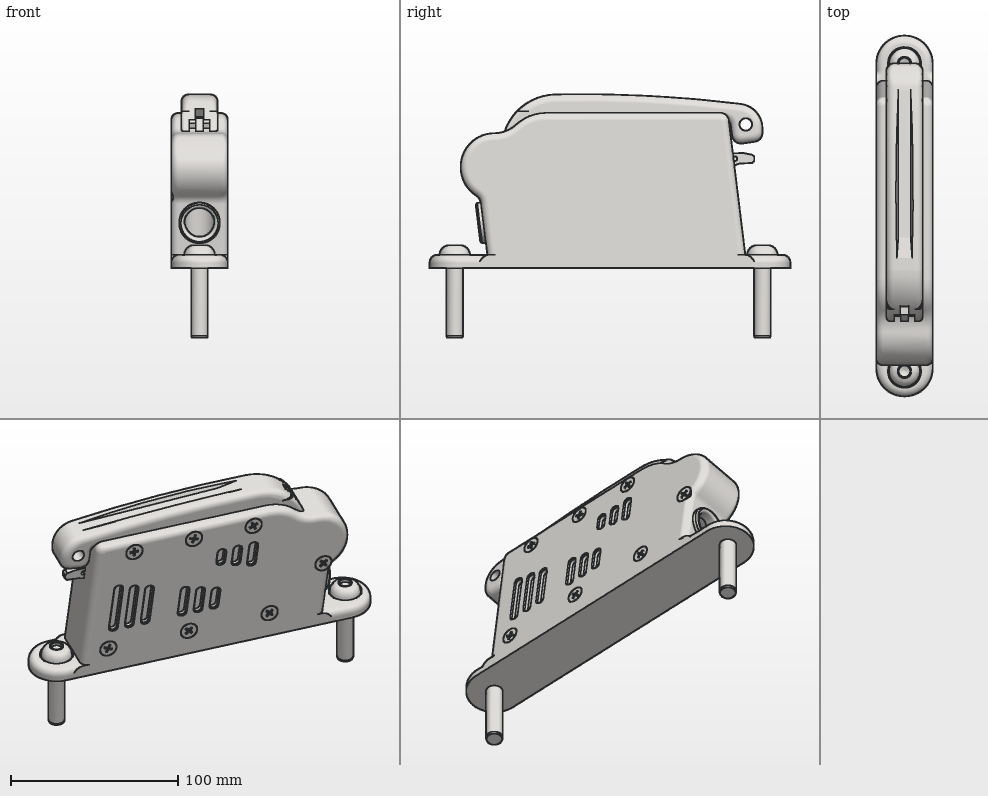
import cadquery as cq
import math

LENGTH = 216.0
WIDTH = 34.0
HALF_WIDTH = WIDTH / 2
LEAN = math.radians(7)

BASE_HEIGHT = 8.0
BASE_ROUND = 4.8
FLANGE_END_Y = LENGTH / 2 - HALF_WIDTH
REAR_RUNOUT_Y = 86.8
FRONT_RUNOUT_Y = 78.5
RUNOUT_RADIUS = 1.7
SELECT_MARGIN = 0.2

BOLT_CENTERS_Y = (91.2, -92.9)
SHANK_DIAMETER = 10.2
SHANK_TIP_DIAMETER = 9.3
SHANK_TIP_LENGTH = 1.3
SHANK_END_Z = -41.7
HEAD_DIAMETER = 18.5
HEAD_RECESS_DIAMETER = 19.9
HEAD_RECESS_DEPTH = 1.3
HEAD_TOP_Z = 13.8
HEAD_FLAT_DIAMETER = 8.2
HEAD_BULGE = (7.8, 11.7)
SOCKET_DIAMETER = 7.0
SOCKET_DEPTH = 2.2
SOCKET_CONE_DEPTH = 1.3

HOUSING_TOP_Z = 92.9
BACK_FOOT_Y = 81.0
FRONT_FOOT_Y = -73.5
SHOULDER_Y = -38.0
CREST_Y = -69.1
BULGE_RADIUS = 20.3
BULGE_CENTER_Z = 60.5
SHOULDER_SHARE = 0.59
HOUSING_ROUND = 4.3
BACK_CORNER_RADIUS = 5.2
NECK_RADIUS = 7.0

SIDE_SCREWS = (
    (47.7, 84.5, 0), (9.7, 84.5, 20), (-28.3, 84.5, 65), (-72.8, 45.1, 50),
    (64.4, 16.8, 25), (13.0, 16.8, 45), (-38.5, 16.8, 45),
)
SCREW_DIAMETER = 10.2
SCREW_SEAT_DIAMETER = 10.5
SCREW_SEAT_DEPTH = 5.0
SCREW_HEAD_HEIGHT = 5.5
CROSS_LENGTH = 5.2
CROSS_WIDTH = 0.9
CROSS_DEPTH = 1.3

VENT_WIDTH = 4.5
VENT_CHAMFER = 0.75
VENT_DEPTH = 3.2
VENT_PITCH = 10.2
VENTS_PER_ROW = 3
LOW_ROW_Z = 32.2
HIGH_ROW_Z = 69.3
REAR_ROW = (61.1, LOW_ROW_Z, 27.0, -2.5)
MIDDLE_ROW = (17.3, LOW_ROW_Z, 15.1, -2.8)
FRONT_ROW = (-8.0, HIGH_ROW_Z, -5.6, -2.8)

OUTLET_Z = 27.2
OUTLET_DIAMETER = 24.5
OUTLET_LENGTH = 3.2
OUTLET_ROOT = 1.0
OUTLET_CHAMFER = 1.0
OUTLET_ROUND = 2.0
BORE_DIAMETER = 18.0
BORE_DEPTH = 13.0
BORE_END_DIAMETER = 18.5
BORE_END_LENGTH = 21.5

LEVER_WIDTH = 21.8
LEVER_ROUND = 4.5
FINGER_ROUND = 2.4
LEVER_TOP_Z = 104.1
LEVER_TOP_Y = -17.3
LEVER_TOP_RADIUS = 784.0
NOSE_START_Y = -32.6
NOSE_RADIUS = 32.8
NOSE_END_Z = 80.4
HINGE_START_Y = 78.2
HINGE_RADIUS = 15.0
HINGE_CORNER_RADIUS = 5.6
HINGE_BOTTOM = ((91.4, 76.2), (73.7, 73.7))
HINGE_FRONT = (71.7, 88.8)
HINGE_FRONT_RADIUS = 3.9
UNDERSIDE_BREAK_Y = -19.5
UNDERSIDE_FRONT_Y = -38.9
PIN_HOLE = (81.2, 86.0)
PIN_HOLE_DIAMETER = 7.3

FINGER_TOP_Z = 93.7
FINGER_GAP = 12.3
RECESS_FRONT_Y = -75.5
RECESS_OUTLINE = (
    (RECESS_FRONT_Y, 88.8), (-59.0, 88.8), (-60.0, 86.6), (-57.9, NOSE_END_Z), (RECESS_FRONT_Y, NOSE_END_Z),
)
TONGUE_WIDTH = 4.3
WINDOW_WIDTH = 5.0
WINDOW_OUTLINE = ((RECESS_FRONT_Y, 95.3), (-54.0, 95.3), (-48.8, 89.9), (RECESS_FRONT_Y, 89.5))

GROOVE_REAR_Y = 75.4
GROOVE_DEEP_Y = -12.7
GROOVE_FRONT_Y = -25.0
GROOVE_DEPTH = 2.0
GROOVE_WIDTH = 7.3
GROOVE_TOP_WIDTH = 9.7

CATCH_THICKNESS = 4.3
CATCH_OUTLINE = (
    (64.8, 68.7), (80.0, 69.0), (85.0, 67.8), (86.5, 66.7),
    (86.5, 64.2), (85.0, 62.9), (77.3, 62.5), (64.8, 57.9),
)
CATCH_HOLE = (74.7, 65.5)
CATCH_HOLE_DIAMETER = 2.5


def side_profile():
    """Sketch plane whose local axes are Y and Z and whose normal is +X."""
    return cq.Workplane("YZ")


def extrude_outline(points, x_size):
    """Straight-sided (y, z) outline extruded symmetrically about X = 0."""
    return side_profile().polyline(points).close().extrude(x_size / 2, both=True)


def box_between(x_size, y_range, z_range):
    """Box centred on X = 0 between the given Y and Z limits."""
    y_size = y_range[1] - y_range[0]
    z_size = z_range[1] - z_range[0]
    corner = (-x_size / 2, y_range[0], z_range[0])
    return cq.Workplane("XY").box(x_size, y_size, z_size, centered=False).translate(corner)


def wall_y(foot_y, z):
    """Y of a leaning end wall at height z."""
    return foot_y - (z - BASE_HEIGHT) * math.tan(LEAN)


def make_base_end(runout_y):
    """Half of the base plate toward +Y; the rounded rim flares out until it leaves the side faces."""
    flare_x = HALF_WIDTH + RUNOUT_RADIUS
    flare_y = runout_y - RUNOUT_RADIUS
    outer_x = flare_x + BASE_ROUND * 2
    diagonal = RUNOUT_RADIUS * math.sqrt(0.5)
    return (
        cq.Workplane("XY")
        .moveTo(-outer_x, 0)
        .lineTo(-outer_x, flare_y)
        .lineTo(-flare_x, flare_y)
        .threePointArc((-flare_x + diagonal, runout_y - diagonal), (-HALF_WIDTH, runout_y))
        .lineTo(-HALF_WIDTH, FLANGE_END_Y)
        .threePointArc((0, LENGTH / 2), (HALF_WIDTH, FLANGE_END_Y))
        .lineTo(HALF_WIDTH, runout_y)
        .threePointArc((flare_x - diagonal, runout_y - diagonal), (flare_x, flare_y))
        .lineTo(outer_x, flare_y)
        .lineTo(outer_x, 0)
        .close()
        .extrude(BASE_HEIGHT)
        .edges(cq.selectors.BoxSelector(
            (-flare_x - SELECT_MARGIN, flare_y - SELECT_MARGIN, BASE_HEIGHT - SELECT_MARGIN),
            (flare_x + SELECT_MARGIN, LENGTH, BASE_HEIGHT + SELECT_MARGIN), boundingbox=True))
        .fillet(BASE_ROUND)
        .intersect(box_between(WIDTH, (0, LENGTH), (0, BASE_HEIGHT)))
    )


def make_housing():
    """Leaning housing with an S-curved shoulder and a round bulge at the front."""
    crest_z = BULGE_CENTER_Z + BULGE_RADIUS
    run = SHOULDER_Y - CREST_Y
    drop = HOUSING_TOP_Z - crest_z
    sweep = 2 * math.atan(drop / run)
    radius_sum = run / math.sin(sweep)
    upper = radius_sum * SHOULDER_SHARE
    lower = radius_sum - upper

    def upper_arc(angle):
        return (SHOULDER_Y - upper * math.sin(angle), HOUSING_TOP_Z - upper * (1 - math.cos(angle)))

    def lower_arc(angle):
        return (CREST_Y + lower * math.sin(angle), crest_z + lower * (1 - math.cos(angle)))

    offset = (wall_y(FRONT_FOOT_Y, BULGE_CENTER_Z) - CREST_Y) * math.cos(LEAN)
    angle = math.pi + LEAN + math.acos(-offset / BULGE_RADIUS)
    neck = (CREST_Y + BULGE_RADIUS * math.cos(angle), BULGE_CENTER_Z + BULGE_RADIUS * math.sin(angle))

    housing = (
        side_profile()
        .moveTo(BACK_FOOT_Y, BASE_HEIGHT)
        .lineTo(wall_y(BACK_FOOT_Y, HOUSING_TOP_Z), HOUSING_TOP_Z)
        .lineTo(SHOULDER_Y, HOUSING_TOP_Z)
        .threePointArc(upper_arc(sweep / 2), upper_arc(sweep))
        .threePointArc(lower_arc(sweep / 2), (CREST_Y, crest_z))
        .threePointArc((CREST_Y - BULGE_RADIUS, BULGE_CENTER_Z), neck)
        .lineTo(FRONT_FOOT_Y, BASE_HEIGHT)
        .close()
        .extrude(HALF_WIDTH, both=True)
    )
    back_corner = (0, wall_y(BACK_FOOT_Y, HOUSING_TOP_Z), HOUSING_TOP_Z)
    housing = housing.edges(cq.selectors.NearestToPointSelector(back_corner)).fillet(BACK_CORNER_RADIUS)
    housing = housing.edges(cq.selectors.NearestToPointSelector((0, *neck))).fillet(NECK_RADIUS)
    rims = housing.faces("<X or >X").edges(cq.selectors.BoxSelector(
        (-WIDTH, -LENGTH, BASE_HEIGHT + SELECT_MARGIN), (WIDTH, LENGTH, LENGTH)))
    return rims.fillet(HOUSING_ROUND)


def make_bolt(y):
    """Domed bolt with a round socket and a shank below the base."""
    seat_z = BASE_HEIGHT - HEAD_RECESS_DEPTH
    socket_z = HEAD_TOP_Z - SOCKET_DEPTH
    return (
        cq.Workplane("XZ")
        .moveTo(0, SHANK_END_Z)
        .lineTo(SHANK_TIP_DIAMETER / 2, SHANK_END_Z)
        .lineTo(SHANK_DIAMETER / 2, SHANK_END_Z + SHANK_TIP_LENGTH)
        .lineTo(SHANK_DIAMETER / 2, seat_z)
        .lineTo(HEAD_DIAMETER / 2, seat_z)
        .lineTo(HEAD_DIAMETER / 2, BASE_HEIGHT)
        .threePointArc(HEAD_BULGE, (HEAD_FLAT_DIAMETER / 2, HEAD_TOP_Z))
        .lineTo(SOCKET_DIAMETER / 2, HEAD_TOP_Z)
        .lineTo(SOCKET_DIAMETER / 2, socket_z)
        .lineTo(0, socket_z - SOCKET_CONE_DEPTH)
        .close()
        .revolve(360, (0, 0, 0), (0, 1, 0))
        .translate((0, y, 0))
    )


def make_bolt_recess(y):
    """Shallow round seat around a bolt head."""
    return (
        cq.Workplane("XY", origin=(0, y, BASE_HEIGHT - HEAD_RECESS_DEPTH))
        .circle(HEAD_RECESS_DIAMETER / 2)
        .extrude(HEAD_TOP_Z)
    )


def make_side_cylinder(y, z, diameter, depth):
    """Cylinder reaching from the -X side face inward."""
    return (
        side_profile()
        .workplane(offset=-HALF_WIDTH)
        .center(y, z)
        .circle(diameter / 2)
        .extrude(depth)
    )


def make_cross(y, z, angle):
    """Cross recess for a side screw."""
    bar = cq.Workplane("XY").box(2 * CROSS_DEPTH, CROSS_LENGTH, CROSS_WIDTH)
    cross = bar.union(bar.rotate((0, 0, 0), (1, 0, 0), 90))
    return cross.rotate((0, 0, 0), (1, 0, 0), angle).translate((-HALF_WIDTH, y, z))


def add_side_screws(part):
    """Flush screw heads in slightly larger seats on the -X side."""
    for y, z, angle in SIDE_SCREWS:
        part = part.cut(make_side_cylinder(y, z, SCREW_SEAT_DIAMETER, SCREW_SEAT_DEPTH))
        part = part.union(make_side_cylinder(y, z, SCREW_DIAMETER, SCREW_HEAD_HEIGHT))
        part = part.cut(make_cross(y, z, angle))
    return part


def make_vent(y, z, height):
    """Leaning blind slot with a chamfered rim; (y, z) is one arc centre."""
    span = height / math.cos(LEAN)
    middle = (y - height / 2 * math.tan(LEAN), z + height / 2)
    slot_angle = 90 + math.degrees(LEAN)
    face = side_profile().workplane(offset=-HALF_WIDTH).center(*middle)
    pocket = face.slot2D(abs(span) + VENT_WIDTH, VENT_WIDTH, slot_angle).extrude(VENT_DEPTH)
    mouth_width = VENT_WIDTH + 2 * VENT_CHAMFER
    mouth = (
        face.slot2D(abs(span) + mouth_width, mouth_width, slot_angle)
        .extrude(VENT_CHAMFER, taper=45)
    )
    return pocket.union(mouth)


def cut_vents(part):
    """Three rows of vents; each row is aligned at one end and steps in length."""
    for first_y, row_z, first_height, step in (REAR_ROW, MIDDLE_ROW, FRONT_ROW):
        for index in range(VENTS_PER_ROW):
            part = part.cut(make_vent(first_y - index * VENT_PITCH, row_z, first_height + index * step))
    return part


def add_outlet(part):
    """Round collar on the front wall with a blind bore that ends in a cylindrical wall."""
    wall_point = (0, wall_y(FRONT_FOOT_Y, OUTLET_Z), OUTLET_Z)

    def face_forward(shape):
        return shape.rotate((0, 0, 0), (1, 0, 0), 90 + math.degrees(LEAN)).translate(wall_point)

    collar = (
        cq.Workplane("XY", origin=(0, 0, -OUTLET_ROOT))
        .circle(OUTLET_DIAMETER / 2)
        .extrude(OUTLET_ROOT + OUTLET_LENGTH)
        .faces(">Z").edges().chamfer(OUTLET_CHAMFER)
    )
    bore_radius = BORE_DIAMETER / 2
    lip_z = OUTLET_LENGTH - OUTLET_ROUND
    diagonal = OUTLET_ROUND * math.sqrt(0.5)
    lip_middle = (bore_radius + OUTLET_ROUND - diagonal, lip_z + diagonal)
    bore = (
        cq.Workplane("XZ")
        .moveTo(0, -BORE_DEPTH)
        .lineTo(bore_radius, -BORE_DEPTH)
        .lineTo(bore_radius, lip_z)
        .threePointArc(lip_middle, (bore_radius + OUTLET_ROUND, OUTLET_LENGTH))
        .lineTo(0, OUTLET_LENGTH)
        .close()
        .revolve(360, (0, 0, 0), (0, 1, 0))
    )
    bore_end = cq.Workplane("XZ").circle(BORE_END_DIAMETER / 2).extrude(BORE_END_LENGTH / 2, both=True)
    bore = bore.union(bore_end.translate((0, 0, -BORE_DEPTH)))
    return part.union(face_forward(collar)).cut(face_forward(bore))


def lever_surface_z(y):
    """Height of the long shallow arc along the top of the lever."""
    center_z = LEVER_TOP_Z - LEVER_TOP_RADIUS
    return center_z + math.sqrt(LEVER_TOP_RADIUS ** 2 - (y - LEVER_TOP_Y) ** 2)


def tangent_center(y, radius):
    """Centre of an arc that continues the lever top smoothly at the given y."""
    tilt = math.asin((y - LEVER_TOP_Y) / LEVER_TOP_RADIUS)
    return (y - radius * math.sin(tilt), lever_surface_z(y) - radius * math.cos(tilt))


def nose_point(z):
    """Point of the nose arc at height z."""
    center_y, center_z = tangent_center(NOSE_START_Y, NOSE_RADIUS)
    return (center_y - math.sqrt(NOSE_RADIUS ** 2 - (z - center_z) ** 2), z)


def make_lever_plate(edge_radius):
    """Full lever outline with both side rims rounded."""
    hinge_y, hinge_z = tangent_center(HINGE_START_Y, HINGE_RADIUS)
    diagonal = HINGE_RADIUS * math.sqrt(0.5)
    plate = (
        side_profile()
        .moveTo(*nose_point(NOSE_END_Z))
        .threePointArc(nose_point(FINGER_TOP_Z), (NOSE_START_Y, lever_surface_z(NOSE_START_Y)))
        .threePointArc((LEVER_TOP_Y, LEVER_TOP_Z), (HINGE_START_Y, lever_surface_z(HINGE_START_Y)))
        .threePointArc((hinge_y + diagonal, hinge_z + diagonal), (hinge_y + HINGE_RADIUS, hinge_z))
        .lineTo(*HINGE_BOTTOM[0])
        .lineTo(*HINGE_BOTTOM[1])
        .lineTo(*HINGE_FRONT)
        .lineTo(UNDERSIDE_BREAK_Y, HINGE_FRONT[1])
        .lineTo(UNDERSIDE_FRONT_Y, NOSE_END_Z)
        .close()
        .extrude(LEVER_WIDTH / 2, both=True)
    )
    corner_radii = [(corner, HINGE_CORNER_RADIUS) for corner in HINGE_BOTTOM]
    corner_radii.append((HINGE_FRONT, HINGE_FRONT_RADIUS))
    for corner, radius in corner_radii:
        plate = plate.edges(cq.selectors.NearestToPointSelector((0, *corner))).fillet(radius)
    return plate.faces("<X or >X").edges().fillet(edge_radius)


def make_groove():
    """Groove with flared walls that deepens toward the front and ends in a ramp."""
    rear = (GROOVE_REAR_Y, lever_surface_z(GROOVE_REAR_Y))
    deep = (GROOVE_DEEP_Y, lever_surface_z(GROOVE_DEEP_Y) - GROOVE_DEPTH)
    front = (GROOVE_FRONT_Y, lever_surface_z(GROOVE_FRONT_Y))
    above = LEVER_TOP_Z + GROOVE_DEPTH
    corners = [rear, deep, front, (GROOVE_FRONT_Y, above), (GROOVE_REAR_Y, above)]
    outline = extrude_outline(corners, LEVER_WIDTH)

    flare = (GROOVE_TOP_WIDTH - GROOVE_WIDTH) / 2 / GROOVE_DEPTH
    height = 4 * GROOVE_DEPTH
    floor_half = GROOVE_WIDTH / 2
    top_half = floor_half + flare * height
    floor_direction = (0, deep[0] - rear[0], deep[1] - rear[1])
    channel = (
        cq.Workplane(cq.Plane(origin=(0, *rear), xDir=(1, 0, 0), normal=floor_direction))
        .polyline([(-floor_half, 0), (floor_half, 0), (top_half, height), (-top_half, height)])
        .close()
        .extrude(GROOVE_REAR_Y - GROOVE_FRONT_Y + GROOVE_DEPTH)
    )
    return outline.intersect(channel)


def make_lever():
    """Lever with hinge hole, top groove and forked nose."""
    fingers = box_between(WIDTH, (-LENGTH, NOSE_START_Y), (0, FINGER_TOP_Z))
    lever = make_lever_plate(LEVER_ROUND).cut(fingers)
    lever = lever.union(make_lever_plate(FINGER_ROUND).intersect(fingers))

    recess = extrude_outline(RECESS_OUTLINE, FINGER_GAP).cut(extrude_outline(RECESS_OUTLINE, TONGUE_WIDTH))
    lever = lever.cut(recess).cut(extrude_outline(WINDOW_OUTLINE, WINDOW_WIDTH))

    pin = side_profile().center(*PIN_HOLE).circle(PIN_HOLE_DIAMETER / 2).extrude(LEVER_WIDTH, both=True)
    return lever.cut(pin).cut(make_groove())


def make_catch():
    """Small flat catch with a cross hole."""
    catch = extrude_outline(CATCH_OUTLINE, CATCH_THICKNESS)
    hole = side_profile().center(*CATCH_HOLE).circle(CATCH_HOLE_DIAMETER / 2)
    return catch.cut(hole.extrude(CATCH_THICKNESS, both=True))


body = make_base_end(REAR_RUNOUT_Y).union(make_base_end(FRONT_RUNOUT_Y).mirror("XZ"))
body = body.union(make_housing())
for bolt_y in BOLT_CENTERS_Y:
    body = body.cut(make_bolt_recess(bolt_y)).union(make_bolt(bolt_y))
body = add_outlet(body)
body = add_side_screws(body)
body = cut_vents(body)
result = body.union(make_lever()).union(make_catch())